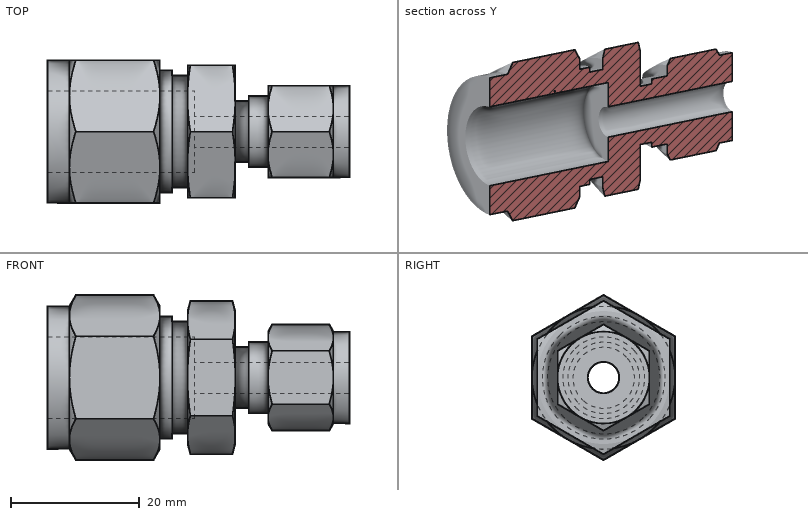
import cadquery as cq
import math


LARGE_NUT_START = 3.45
LARGE_NUT_END = 17.5
LARGE_RING_END = 19.4
BODY_HEX_START = 21.8
BODY_HEX_END = 29.2
SMALL_RING_START = 31.3
SMALL_NUT_START = 34.3
SMALL_NUT_END = 44.45
TOTAL_LENGTH = 46.99

LARGE_NUT_FLATS = 22.225
BODY_FLATS = 20.64
SMALL_NUT_FLATS = 14.29

LARGE_COLLAR_DIAMETER = LARGE_NUT_FLATS
LARGE_RING_DIAMETER = 19.05
LARGE_NECK_DIAMETER = 17.46
SMALL_NECK_DIAMETER = 9.525
SMALL_RING_DIAMETER = 11.11
SMALL_COLLAR_DIAMETER = SMALL_NUT_FLATS

NUT_CHAMFER_ANGLE = 30
BODY_CHAMFER_ANGLE = 15

FLOW_BORE_DIAMETER = 4.83
TUBE_SOCKET_DIAMETER = 12.7
TUBE_SOCKET_DEPTH = 22.86


def cylinder(x_start, x_end, diameter):
    """Round section along X between two stations."""
    return cq.Workplane("YZ", origin=(x_start, 0, 0)).circle(diameter / 2).extrude(x_end - x_start)


def chamfered_hexagon(x_start, x_end, flats, chamfer_angle):
    """Hexagon along X with corners up and down, both ends turned to a cone."""
    corner_radius = flats / math.sqrt(3)
    flat_radius = flats / 2
    chamfer_length = (corner_radius - flat_radius) * math.tan(math.radians(chamfer_angle))
    corners = []
    for corner in range(6):
        angle = math.radians(90 + 60 * corner)
        corners.append((corner_radius * math.cos(angle), corner_radius * math.sin(angle)))
    prism = (
        cq.Workplane("YZ", origin=(x_start, 0, 0))
        .polyline(corners)
        .close()
        .extrude(x_end - x_start)
    )
    turned_envelope = (
        cq.Workplane("XZ")
        .moveTo(x_start, 0)
        .lineTo(x_start, flat_radius)
        .lineTo(x_start + chamfer_length, corner_radius)
        .lineTo(x_end - chamfer_length, corner_radius)
        .lineTo(x_end, flat_radius)
        .lineTo(x_end, 0)
        .close()
        .revolve(360, (0, 0, 0), (1, 0, 0))
    )
    return prism.intersect(turned_envelope)


sections = [
    cylinder(0, LARGE_NUT_START, LARGE_COLLAR_DIAMETER),
    chamfered_hexagon(LARGE_NUT_START, LARGE_NUT_END, LARGE_NUT_FLATS, NUT_CHAMFER_ANGLE),
    cylinder(LARGE_NUT_END, LARGE_RING_END, LARGE_RING_DIAMETER),
    cylinder(LARGE_RING_END, BODY_HEX_START, LARGE_NECK_DIAMETER),
    chamfered_hexagon(BODY_HEX_START, BODY_HEX_END, BODY_FLATS, BODY_CHAMFER_ANGLE),
    cylinder(BODY_HEX_END, SMALL_RING_START, SMALL_NECK_DIAMETER),
    cylinder(SMALL_RING_START, SMALL_NUT_START, SMALL_RING_DIAMETER),
    chamfered_hexagon(SMALL_NUT_START, SMALL_NUT_END, SMALL_NUT_FLATS, NUT_CHAMFER_ANGLE),
    cylinder(SMALL_NUT_END, TOTAL_LENGTH, SMALL_COLLAR_DIAMETER),
]

fitting = sections[0]
for section in sections[1:]:
    fitting = fitting.union(section)

flow_bore = cylinder(0, TOTAL_LENGTH, FLOW_BORE_DIAMETER)
tube_socket = cylinder(0, TUBE_SOCKET_DEPTH, TUBE_SOCKET_DIAMETER)
result = fitting.cut(flow_bore).cut(tube_socket)